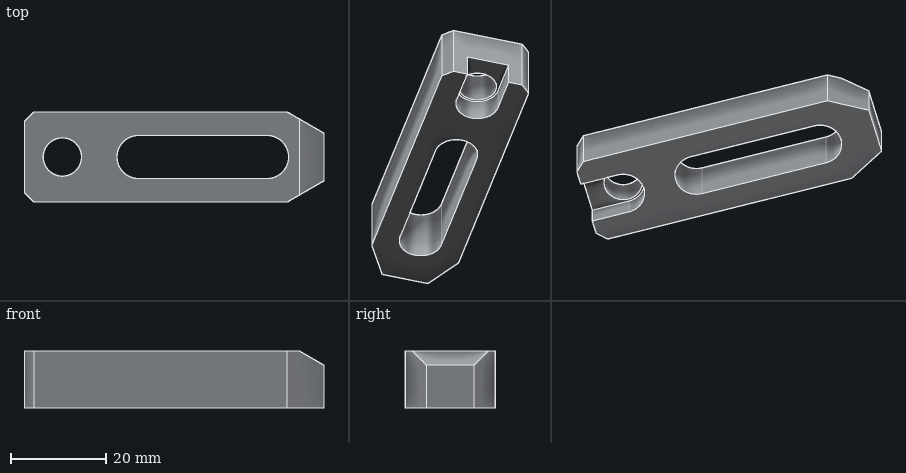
import cadquery as cq
import math

length = 63.0
width = 19.0
height = 12.0

rear_chamfer = 2.0
tip_width = 10.0
nose_angle = 30.0
bevel_drop = 3.0

hole_diameter = 8.0
hole_x = 8.0

slot_width = 9.0
slot_start = 19.5
slot_end = 55.5

groove_width = 9.0
groove_depth = 5.0

nose_slope = math.tan(math.radians(nose_angle))
half_width = width / 2
tip_half_width = tip_width / 2
nose_length = (half_width - tip_half_width) / nose_slope
bevel_length = bevel_drop / nose_slope
slot_length = slot_end - slot_start
slot_center = (slot_start + slot_end) / 2


def strap_body():
    """Plan outline with chamfered rear corners and a tapered nose."""
    outline = [
        (rear_chamfer, -half_width),
        (length - nose_length, -half_width),
        (length, -tip_half_width),
        (length, tip_half_width),
        (length - nose_length, half_width),
        (rear_chamfer, half_width),
        (0, half_width - rear_chamfer),
        (0, rear_chamfer - half_width),
    ]
    return cq.Workplane("XY").polyline(outline).close().extrude(height)


def nose_bevel():
    """Wedge removed from the top of the nose."""
    wedge = [
        (length - bevel_length, height),
        (length, height),
        (length, height - bevel_drop),
    ]
    return cq.Workplane("XZ").polyline(wedge).close().extrude(half_width, both=True)


def screw_hole():
    """Round through hole near the rear end."""
    return cq.Workplane("XY").center(hole_x, 0).circle(hole_diameter / 2).extrude(height)


def clamping_slot():
    """Round-ended slot through the full height."""
    return cq.Workplane("XY").center(slot_center, 0).slot2D(slot_length, slot_width).extrude(height)


def base_groove():
    """Groove in the base from the rear face, ending in an arc concentric with the hole."""
    straight_part = cq.Workplane("XY").box(
        hole_x, groove_width, groove_depth, centered=(False, True, False)
    )
    round_end = cq.Workplane("XY").center(hole_x, 0).circle(groove_width / 2).extrude(groove_depth)
    return straight_part.union(round_end)


result = (
    strap_body()
    .cut(nose_bevel())
    .cut(screw_hole())
    .cut(clamping_slot())
    .cut(base_groove())
)